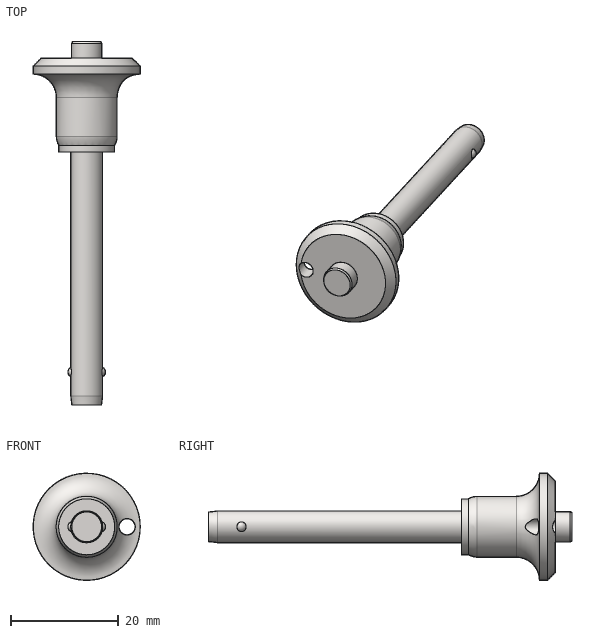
import cadquery as cq
import math

length = 67.7
button_end = length / 2
tip_end = -length / 2

button_radius = 2.85
button_height = 3.1
button_edge_radius = 2.65
button_edge_length = 0.4

flange_diameter = 20.0
flange_radius = flange_diameter / 2
flange_chamfer = 1.5
flange_rim_width = 1.5
collar_radius = 5.7
collar_length = 7.3
nose_radius = 5.2
nose_taper_length = 1.6
nose_length = 1.3

pin_radius = 3.0
tip_radius = 2.8
tip_length = 1.7

ball_radius = 0.95
ball_reach = 3.5
ball_to_tip = 6.15

hole_diameter = 3.0
hole_offset = 7.5

flange_top = button_end - button_height
rim_top = flange_top - flange_chamfer
rim_bottom = rim_top - flange_rim_width
flare_radius = flange_radius - collar_radius
collar_top = rim_bottom - flare_radius
collar_bottom = collar_top - collar_length
nose_top = collar_bottom - nose_taper_length
nose_bottom = nose_top - nose_length


def make_turned_body():
    """Revolve the half profile (radius, axial position) about the Y axis."""
    flare_reach = flare_radius * math.sqrt(0.5)
    flare_middle = (flange_radius - flare_reach, collar_top + flare_reach)

    profile = (
        cq.Workplane("XY")
        .moveTo(0, button_end)
        .lineTo(button_edge_radius, button_end)
        .lineTo(button_radius, button_end - button_edge_length)
        .lineTo(button_radius, flange_top)
        .lineTo(flange_radius - flange_chamfer, flange_top)
        .lineTo(flange_radius, rim_top)
        .lineTo(flange_radius, rim_bottom)
        .threePointArc(flare_middle, (collar_radius, collar_top))
        .lineTo(collar_radius, collar_bottom)
        .tangentArcPoint((nose_radius, nose_top), relative=False)
        .lineTo(nose_radius, nose_bottom)
        .lineTo(pin_radius, nose_bottom)
        .lineTo(pin_radius, tip_end + tip_length)
        .lineTo(tip_radius, tip_end)
        .lineTo(0, tip_end)
        .close()
    )
    return profile.revolve(360, (0, 0, 0), (0, 1, 0))


def make_ball(side):
    """Locking ball sunk into the pin on the +X (1) or -X (-1) side."""
    center_x = side * (ball_reach - ball_radius)
    return cq.Workplane("XY").sphere(ball_radius).translate((center_x, tip_end + ball_to_tip, 0))


def make_lanyard_hole():
    """Cutter through the flange and flare, parallel to the pin axis."""
    return (
        cq.Workplane("XZ", origin=(hole_offset, flange_top, 0))
        .circle(hole_diameter / 2)
        .extrude(flange_top - collar_top)
    )


result = make_turned_body().cut(make_lanyard_hole())
for side in (-1, 1):
    result = result.union(make_ball(side))